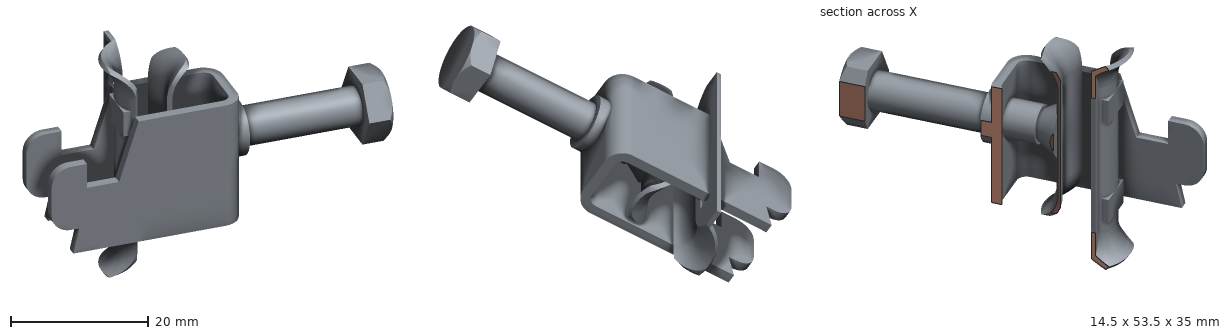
import cadquery as cq
import math


bracket_width = 12.0
bracket_length = 30.0
bracket_height = 20.0
bracket_wall = 1.5
bend_radius = 3.0
boss_diameter = 8.5
boss_height = 1.5
boss_root = 0.55

ramp_start = 16.5
ramp_end = 19.55
notch_floor = 0.55
hook_start = 24.5
hook_top = 4.5
hook_bottom = -6.0
hook_radius = 3.0
heel_top = 25.75
heel_tip = 26.65

bolt_height = 2.5
bolt_diameter = 6.0
bolt_reach = 6.6
head_top = 23.5
head_thickness = 4.0
head_flats = 10.0

sheet = 0.75
cable_radius = 4.05
flare_height = 5.0
flare_inner_radius = 6.0
trim_reach = 16.05

saddle_half_height = 13.9
saddle_apex = 9.95
saddle_leg_angle = 24.0
saddle_leg_length = 2.45
saddle_corner_radius = 2.7
saddle_trim_direction = 90.0
seat_tip_diameter = 4.9
seat_half_angle = 30.0

trough_half_height = 17.5
plate_left = -8.5
plate_back = 15.75
trough_centre_x = 0.55
trough_depth = 17.9
trough_rim_angle = 49.0
trough_corner_radius = 4.55
trough_trim_direction = 110.0
slot_left = -6.5
slot_right = -4.0
slot_height = 23.0
pad_width = 6.05
pad_height = 4.0
pad_centre_height = 8.5


def make_bracket():
    half_width = bracket_width / 2
    half_height = bracket_height / 2
    u_shape = (
        cq.Workplane("XY")
        .box(bracket_width, bracket_length, bracket_height)
        .translate((0, -bracket_length / 2, 0))
        .edges("|Z and >Y").fillet(bend_radius)
    )
    inside = (
        cq.Workplane("XY")
        .box(bracket_width - 2 * bracket_wall, bracket_length, bracket_height)
        .translate((0, -bracket_length / 2 - bracket_wall, 0))
        .edges("|Z and >Y").fillet(bend_radius - bracket_wall)
    )
    arm_outline = (
        cq.Workplane("YZ")
        .moveTo(0, half_height)
        .lineTo(-ramp_start, half_height)
        .lineTo(-ramp_end, notch_floor)
        .lineTo(-hook_start, notch_floor)
        .lineTo(-hook_start, hook_top)
        .lineTo(-(bracket_length - hook_radius), hook_top)
        .radiusArc((-bracket_length, hook_top - hook_radius), -hook_radius)
        .lineTo(-bracket_length, hook_bottom + hook_radius)
        .radiusArc((-(bracket_length - hook_radius), hook_bottom), -hook_radius)
        .lineTo(-heel_top, hook_bottom)
        .lineTo(-heel_tip, -half_height)
        .lineTo(0, -half_height)
        .close()
        .extrude(half_width, both=True)
    )
    boss = y_cylinder(boss_diameter, -boss_root, boss_height)
    bolt_hole = y_cylinder(bolt_diameter, -bracket_wall, boss_height)
    return u_shape.cut(inside).intersect(arm_outline).union(boss).cut(bolt_hole)


def y_cylinder(diameter, y_start, y_end):
    """Cylinder on the bolt axis between two Y positions."""
    return (
        cq.Workplane("XZ", origin=(0, y_start, bolt_height))
        .circle(diameter / 2)
        .extrude(y_start - y_end)
    )


def make_bolt():
    head_bottom = head_top - head_thickness
    shank = y_cylinder(bolt_diameter, -bolt_reach, head_bottom)
    corner_diameter = head_flats / math.cos(math.pi / 6)
    head = (
        cq.Workplane("XZ", origin=(0, head_bottom, bolt_height))
        .polygon(6, corner_diameter)
        .extrude(-head_thickness)
    )
    bevel = (
        cq.Workplane("XY", origin=(0, 0, bolt_height))
        .moveTo(0, head_top)
        .lineTo(head_flats / 2, head_top)
        .lineTo(head_flats / 2 + head_thickness, head_bottom)
        .lineTo(0, head_bottom)
        .close()
        .revolve(360, (0, 0), (0, 1))
    )
    return head.intersect(bevel).union(shank)


def flare_points(radius, arc_radius, half_height):
    """Start, middle and end of the upper flare arc that begins at the given wall radius."""
    straight = half_height - flare_height
    sweep = math.asin(flare_height / flare_inner_radius)
    return [
        (radius + arc_radius * (1 - math.cos(a)), straight + arc_radius * math.sin(a))
        for a in (0, sweep / 2, sweep)
    ]


def flare_pair(radius, arc_radius, half_height):
    """Upper flare points and their mirror image below."""
    upper = flare_points(radius, arc_radius, half_height)
    lower = [(r, -z) for r, z in upper]
    return upper, lower


def wall_section(plane, half_height):
    """Closed section of the flared sheet wall: local X is the radius, local Y runs along Z."""
    inner, inner_low = flare_pair(cable_radius, flare_inner_radius, half_height)
    outer, outer_low = flare_pair(cable_radius + sheet, flare_inner_radius - sheet, half_height)
    return (
        cq.Workplane(plane)
        .moveTo(*inner_low[0])
        .lineTo(*inner[0])
        .threePointArc(inner[1], inner[2])
        .lineTo(*outer[2])
        .threePointArc(outer[1], outer[0])
        .lineTo(*outer_low[0])
        .threePointArc(outer_low[1], outer_low[2])
        .lineTo(*inner_low[2])
        .threePointArc(inner_low[1], inner_low[0])
        .close()
    )


def core_section(plane, half_height):
    """Half section of the space enclosed by the flared wall."""
    top, low = flare_pair(cable_radius, flare_inner_radius, half_height)
    return (
        cq.Workplane(plane)
        .moveTo(0, low[2][1])
        .lineTo(*low[2])
        .threePointArc(low[1], low[0])
        .lineTo(*top[0])
        .threePointArc(top[1], top[2])
        .lineTo(0, top[2][1])
        .close()
    )


def radial_plane(centre, direction):
    """Plane through a vertical axis whose local X points outwards at an angle from +X."""
    a = math.radians(direction)
    return cq.Plane(
        origin=centre,
        xDir=(math.cos(a), math.sin(a), 0),
        normal=(math.sin(a), -math.cos(a), 0),
    )


def curved_wall(centre, start, sweep, half_height):
    """Flared wall that runs counterclockwise about a vertical axis."""
    section = wall_section(radial_plane(centre, start), half_height)
    return section.revolve(sweep, (0, 0), (0, 1))


def corner_trim(rim, direction, half_height, radius):
    """Block to the left of the rim, its right corners rounded about axes along a direction."""
    a = math.radians(direction)
    x_dir = (-math.sin(a), math.cos(a), 0)
    plane = cq.Plane(origin=rim, xDir=x_dir, normal=(math.cos(a), math.sin(a), 0))
    return (
        cq.Workplane(plane)
        .rect(2 * trim_reach, 2 * half_height)
        .extrude(trim_reach, both=True)
        .edges(cq.selectors.ParallelDirSelector(plane.zDir)).fillet(radius)
        .translate((-trim_reach * math.sin(a), trim_reach * math.cos(a), 0))
    )


def make_saddle():
    centre_y = -saddle_apex - cable_radius
    centre = (0, centre_y, 0)
    right = 90 - saddle_leg_angle
    left = 90 + saddle_leg_angle
    wall = curved_wall(centre, right, 2 * saddle_leg_angle, saddle_half_height)
    for direction, side in ((right, 1), (left, -1)):
        section = wall_section(radial_plane(centre, direction), saddle_half_height)
        wall = wall.union(section.extrude(side * saddle_leg_length))

    a = math.radians(saddle_leg_angle)
    outer_radius = cable_radius + sheet
    rim_x = outer_radius * math.sin(a) + saddle_leg_length * math.cos(a)
    rim_y = centre_y + outer_radius * math.cos(a) - saddle_leg_length * math.sin(a)
    trim = corner_trim(
        (rim_x, rim_y, 0), saddle_trim_direction, saddle_half_height, saddle_corner_radius
    )
    wall = wall.intersect(trim).intersect(trim.mirror("YZ")).translate((0, 0, bolt_height))
    return wall.union(make_seat(centre))


def make_seat(centre):
    """Conical seat from the bolt's tip down to the saddle wall."""
    tip_radius = seat_tip_diameter / 2
    seat_length = saddle_apex - bolt_reach
    base_radius = tip_radius + seat_length * math.tan(math.radians(seat_half_angle))
    cone = (
        cq.Workplane("XY", origin=(0, 0, bolt_height))
        .moveTo(0, -bolt_reach)
        .lineTo(tip_radius, -bolt_reach)
        .lineTo(base_radius, -saddle_apex)
        .lineTo(0, -saddle_apex)
        .close()
        .revolve(360, (0, 0), (0, 1))
    )
    cable_space = cq.Workplane("XY").circle(cable_radius).extrude(saddle_half_height, both=True)
    return cone.cut(cable_space.translate(centre))


def make_trough():
    half = trough_half_height
    outer_radius = cable_radius + sheet
    centre_y = outer_radius - trough_depth
    centre = (trough_centre_x, centre_y, 0)
    plate = (
        cq.Workplane("XY")
        .box(trough_centre_x - plate_left, sheet, 2 * half)
        .translate(((trough_centre_x + plate_left) / 2, -plate_back - sheet / 2, 0))
    )
    cable_space = core_section(radial_plane(centre, 0), half).revolve(360, (0, 0), (0, 1))

    channel = curved_wall(centre, 180, 90 + trough_rim_angle, half).union(cable_space)
    a = math.radians(trough_rim_angle)
    rim_x = trough_centre_x + outer_radius * math.sin(a)
    rim_y = centre_y - outer_radius * math.cos(a)
    trim = corner_trim((rim_x, rim_y, 0), trough_trim_direction, half, trough_corner_radius)
    in_front_of_back = (
        cq.Workplane("XY")
        .box(2 * trim_reach, trim_reach, 2 * half)
        .translate((0, -plate_back - trim_reach / 2, 0))
    )
    trough = plate.union(channel.intersect(trim).intersect(in_front_of_back))

    for height in (-pad_centre_height, pad_centre_height):
        pad = (
            cq.Workplane("XY")
            .box(pad_width, cable_radius, pad_height)
            .translate((trough_centre_x, cable_radius / 2 - trough_depth, height))
        )
        trough = trough.union(pad)

    slot = (
        cq.Workplane("XY")
        .box(slot_right - slot_left, 2 * trough_depth, slot_height)
        .translate(((slot_left + slot_right) / 2, -trough_depth, 0))
    )
    return trough.cut(cable_space).cut(slot)


bracket = make_bracket()
bolt = make_bolt()
saddle = make_saddle()
trough = make_trough()
result = cq.Compound.makeCompound([
    bracket.solids().val(),
    bolt.solids().val(),
    saddle.solids().val(),
    trough.solids().val(),
])